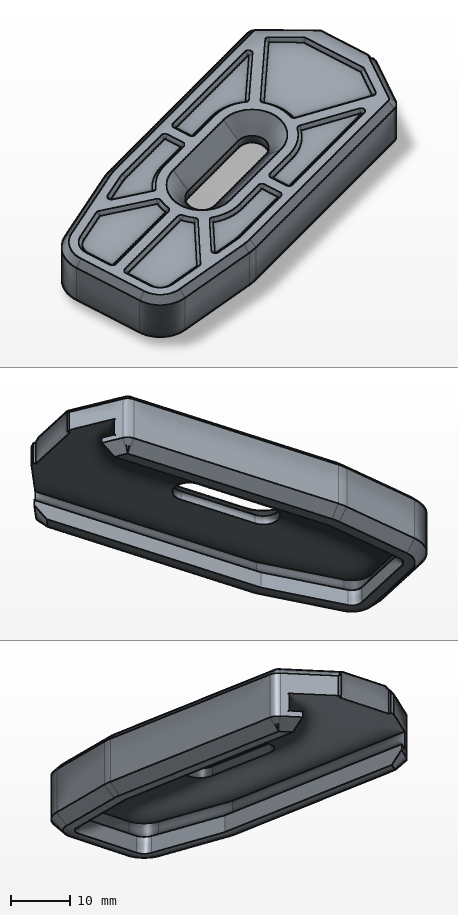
import cadquery as cq
import math

length = 68.95
width = 30.55
height = 11.0
tail_end = -length / 2
nose_end = length / 2
half_width = width / 2
nose_half_width = 6.35
nose_angle = 35.0
taper_start = -13.8
tail_half_width = 11.6
shoulder_radius = 2.0
waist_radius = 10.0
tail_radius = 6.0
top_chamfer = 1.25
bottom_chamfer = 2.0

wall_slope = 45.0

nose_recess_half_width = 5.65
nose_recess_depth = 0.5

slot_width = 5.65
slot_travel = 14.55
slot_mouth_width = 11.9

channel_top = 6.2
lip_height = 3.0
groove_wall = 2.15
lip_wall = 4.0

pocket_depth = 0.6
pocket_border = 2.9
pocket_corner_radius = 0.7
slot_ring_radius = 7.8
rib_width = 1.9
nose_rib_angle = 57.5
tail_rib_angle = 52.0

shoulder = nose_end - (half_width - nose_half_width) * math.tan(math.radians(nose_angle))


def round_corners(prism, radius, y):
    """Round the pair of upright corner edges of a prism that lie at the given Y."""
    margin = 0.1
    corners = cq.selectors.BoxSelector(
        (-width, y - margin, -margin),
        (width, y + margin, height + margin),
    )
    return prism.edges("|Z").edges(corners).fillet(radius)


def mirrored_prism(right_side, depth):
    """Extrude the outline made of right-hand points, listed tail to nose, and their mirror images."""
    left_side = [(-x, y) for x, y in reversed(right_side)]
    return cq.Workplane("XY").polyline(right_side + left_side).close().extrude(depth)


def inset_prism(prism, wall, depth):
    """Prism whose outline lies inside another prism's outline by the wall."""
    outline = prism.faces("<Z").wires().val()
    inset_outline = outline.offset2D(-wall)[0]
    return cq.Workplane("XY").add(inset_outline).toPending().extrude(depth)


def body_prism():
    prism = mirrored_prism(
        [
            (tail_half_width, tail_end),
            (half_width, taper_start),
            (half_width, shoulder),
            (nose_half_width, nose_end),
        ],
        height,
    )
    prism = round_corners(prism, tail_radius, tail_end)
    prism = round_corners(prism, waist_radius, taper_start)
    return prism


def body():
    prism = round_corners(body_prism(), shoulder_radius, shoulder)
    prism = prism.faces(">Z").edges("not >Y").chamfer(top_chamfer)
    return prism.faces("<Z").edges("not >Y").chamfer(bottom_chamfer)


def nose_recess():
    recess = cq.Workplane("XY").box(2 * nose_recess_half_width, 2 * nose_recess_depth, 2 * height)
    return recess.translate((0, nose_end, 0))


def slot_prism(slot_size, depth):
    return cq.Workplane("XY").slot2D(slot_travel + slot_size, slot_size, 90).extrude(depth)


def countersunk_slot():
    countersink_depth = (slot_mouth_width - slot_width) / 2
    countersink = (
        cq.Workplane("XY", origin=(0, 0, height))
        .slot2D(slot_travel + slot_mouth_width, slot_mouth_width, 90)
        .extrude(-countersink_depth, taper=wall_slope)
    )
    return slot_prism(slot_width, height).union(countersink)


def channel_prism(wall, depth):
    """Prism inset from the body sides by the wall, running straight out past the nose."""
    prism = mirrored_prism(
        [
            (tail_half_width, tail_end),
            (half_width, taper_start),
            (half_width, nose_end + 2 * wall),
        ],
        depth,
    )
    prism = round_corners(prism, tail_radius, tail_end)
    return inset_prism(prism, wall, depth)


def t_channel():
    opening = channel_prism(lip_wall, channel_top)
    groove = channel_prism(groove_wall, channel_top - lip_height).translate((0, 0, lip_height))
    return opening.union(groove)


def rib(start_y, angle):
    """Rib running outward from a point on the slot axis at an angle from +X."""
    return (
        cq.Workplane("XY")
        .box(length, rib_width, pocket_depth, centered=(False, True, False))
        .rotate((0, 0, 0), (0, 0, 1), angle)
        .translate((0, start_y, 0))
    )


def pockets():
    """Cutters for the top pockets: the inset outline split by the ribs, with sloped walls.

    Along the nose the border is measured from the floor of the nose recess.
    """
    web = slot_prism(2 * slot_ring_radius, pocket_depth)
    for side in (0, 180):
        web = web.union(rib(0, side))
    slot_center = slot_travel / 2
    for angle in (nose_rib_angle, 180 - nose_rib_angle):
        web = web.union(rib(slot_center, angle))
    for angle in (-tail_rib_angle, -90, tail_rib_angle - 180):
        web = web.union(rib(-slot_center, angle))

    nose_limit = cq.Workplane("XY").box(width, length, height)
    nose_limit = nose_limit.translate((0, -nose_recess_depth - pocket_border, 0))
    field = inset_prism(body_prism(), pocket_border, pocket_depth).intersect(nose_limit)
    pieces = field.cut(web)
    cutters = []
    for piece in pieces.solids().vals():
        outline = cq.Workplane(piece).faces("<Z").wires().val()
        shrunk = outline.offset2D(-pocket_corner_radius)[0]
        floor = shrunk.offset2D(pocket_corner_radius - pocket_depth)[0]
        cutters.append(cq.Workplane("XY").add(floor).toPending().extrude(pocket_depth, taper=-wall_slope))
    return cutters


result = body().cut(nose_recess()).cut(countersunk_slot()).cut(t_channel())
for pocket in pockets():
    result = result.cut(pocket.translate((0, 0, height - pocket_depth)))